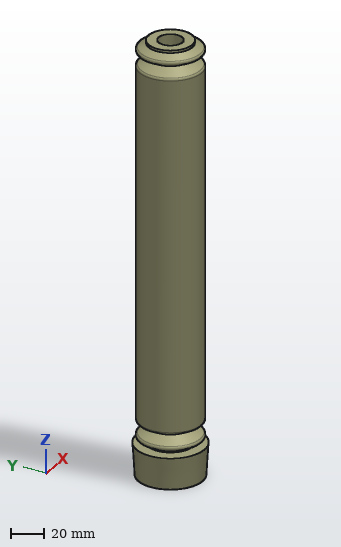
import cadquery as cq
import math

height = 289.5
bore_diameter = 16.0
neck_radius = 29.5 / 2
body_radius = 42.0 / 2

cap_height = 21.5
cap_top_radius = 46.0 / 2
cap_bottom_radius = 21.7

groove_radius = 12.5
slope = math.radians(28)
rim_round = 1.7
top_rim_z = height - 6.0
bottom_rim_z = cap_height + 5.2

round_height = rim_round * math.cos(slope)
round_start_radius = body_radius - rim_round * (1 - math.sin(slope))
round_mid_angle = (math.pi / 2 - slope) / 2
round_mid_height = rim_round * math.sin(round_mid_angle)
round_mid_radius = body_radius - rim_round * (1 - math.cos(round_mid_angle))


def flank_height(radius):
    """Axial distance from the widest point of a rim to its flank at a radius."""
    return round_height + (round_start_radius - radius) * math.tan(slope)


def add_rim(profile, z):
    """Continue the profile upward around a rounded rim, up to its upper flank."""
    return (
        profile.lineTo(round_start_radius, z - round_height)
        .threePointArc((body_radius, z), (round_start_radius, z + round_height))
    )


groove_offset = flank_height(groove_radius)
neck_offset = flank_height(neck_radius)
bottom_groove_z = bottom_rim_z + groove_offset
top_groove_z = top_rim_z - groove_offset
body_bottom_z = bottom_groove_z + groove_offset
body_top_z = top_groove_z - groove_offset

profile = (
    cq.Workplane("XZ")
    .lineTo(cap_bottom_radius, 0)
    .lineTo(cap_top_radius, cap_height)
    .lineTo(neck_radius, cap_height)
    .lineTo(neck_radius, bottom_rim_z - neck_offset)
)
profile = add_rim(profile, bottom_rim_z)
profile = profile.lineTo(groove_radius, bottom_groove_z)

profile = (
    profile.lineTo(round_start_radius, body_bottom_z - round_height)
    .threePointArc(
        (round_mid_radius, body_bottom_z - round_mid_height), (body_radius, body_bottom_z)
    )
    .lineTo(body_radius, body_top_z)
    .threePointArc(
        (round_mid_radius, body_top_z + round_mid_height),
        (round_start_radius, body_top_z + round_height),
    )
    .lineTo(groove_radius, top_groove_z)
)

profile = add_rim(profile, top_rim_z)
profile = (
    profile.lineTo(neck_radius, top_rim_z + neck_offset)
    .lineTo(neck_radius, height)
    .lineTo(0, height)
    .close()
)
solid_body = profile.revolve(360, (0, 0, 0), (0, 1, 0))

bore = cq.Workplane("XY").circle(bore_diameter / 2).extrude(height)
result = solid_body.cut(bore)